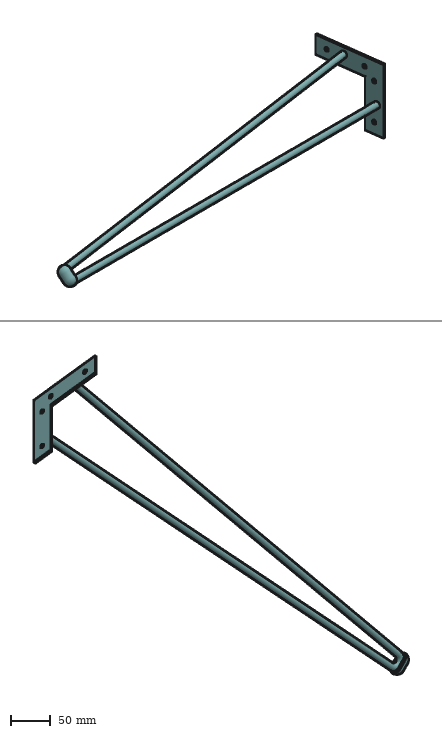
import cadquery as cq
import math

PLATE_LENGTH = 110.0
ARM_WIDTH = 30.0
PLATE_THICKNESS = 3.0
SCREW_HOLE_DIAMETER = 6.0
SCREW_HOLE_DISTANCES = (31.0, 92.0)

ROD_RADIUS = 5.0
ROOT_ALONG_ARM = 64.0
ROOT_INSET = 10.5
BEND_RADIUS = 9.0

FOOT_RADIUS = 9.4
FOOT_LENGTH = 30.0
FOOT_DEPTH = 11.0
FOOT_TIP_Y = -698.0
FOOT_REACH = 61.5
BEND_SETBACK = 9.0

DIAGONAL = math.sqrt(2)
ROOT_HALF_SPACING = (ROOT_ALONG_ARM - ROOT_INSET) / DIAGONAL
ROOT_OFFSET = -(ROOT_ALONG_ARM + ROOT_INSET) / 2
ROOT_MIDDLE = cq.Vector(ROOT_OFFSET, -PLATE_THICKNESS, ROOT_OFFSET)
FOOT_HALF_AXIS = FOOT_LENGTH / 2 - FOOT_RADIUS
FOOT_OFFSET = FOOT_REACH - FOOT_RADIUS - FOOT_HALF_AXIS / DIAGONAL
FOOT_CENTER = cq.Vector(FOOT_OFFSET, FOOT_TIP_Y + FOOT_RADIUS, FOOT_OFFSET)
ACROSS_LEGS = cq.Vector(1, 0, -1)
LEG_PLANE = cq.Plane(
    origin=FOOT_CENTER,
    xDir=ACROSS_LEGS,
    normal=ACROSS_LEGS.cross(ROOT_MIDDLE - FOOT_CENTER),
)

ROOT_DISTANCE = (ROOT_MIDDLE - FOOT_CENTER).Length
LEG_SPAN = ROOT_DISTANCE - BEND_SETBACK
LEG_ANGLE = math.atan2(ROOT_HALF_SPACING, LEG_SPAN) - math.asin(
    BEND_RADIUS / math.hypot(ROOT_HALF_SPACING, LEG_SPAN)
)
LEG_OVERRUN = 4 * ROD_RADIUS


def make_plate():
    outline = [
        (0, 0),
        (-PLATE_LENGTH, 0),
        (-PLATE_LENGTH, -ARM_WIDTH),
        (-ARM_WIDTH, -ARM_WIDTH),
        (-ARM_WIDTH, -PLATE_LENGTH),
        (0, -PLATE_LENGTH),
    ]
    holes = []
    for distance in SCREW_HOLE_DISTANCES:
        holes.append((-distance, -ARM_WIDTH / 2))
        holes.append((-ARM_WIDTH / 2, -distance))
    plate = cq.Workplane("XZ").polyline(outline).close().extrude(PLATE_THICKNESS)
    drill = cq.Workplane("XZ").pushPoints(holes).circle(SCREW_HOLE_DIAMETER / 2)
    return plate.cut(drill.extrude(PLATE_THICKNESS))


def make_hairpin():
    """Round rod along leg, bend and leg, cut flush with the plate's front face."""
    bend_x = BEND_RADIUS * math.cos(LEG_ANGLE)
    bend_y = BEND_SETBACK - BEND_RADIUS * math.sin(LEG_ANGLE)
    end_y = ROOT_DISTANCE + LEG_OVERRUN
    end_x = bend_x + (end_y - bend_y) * math.tan(LEG_ANGLE)
    path = (
        cq.Workplane(LEG_PLANE)
        .moveTo(-end_x, end_y)
        .lineTo(-bend_x, bend_y)
        .threePointArc((0, BEND_SETBACK - BEND_RADIUS), (bend_x, bend_y))
        .lineTo(end_x, end_y)
        .wire()
    )
    start = cq.Plane(origin=path.val().startPoint(), normal=path.val().tangentAt(0))
    rod = cq.Workplane(start).circle(ROD_RADIUS).sweep(path)
    space_behind_plate_face = (
        cq.Workplane("XZ", origin=(0, -PLATE_THICKNESS, 0))
        .rect(2 * PLATE_LENGTH, 2 * PLATE_LENGTH)
        .extrude(-2 * LEG_OVERRUN)
    )
    return rod.cut(space_behind_plate_face)


def make_foot(hairpin):
    """Flat-backed capsule with a recess that fits the bend."""
    half_length = FOOT_LENGTH / 2
    corner = FOOT_RADIUS * math.sqrt(0.5)
    capsule = (
        cq.Workplane(LEG_PLANE)
        .moveTo(-half_length, 0)
        .threePointArc((-FOOT_HALF_AXIS - corner, corner), (-FOOT_HALF_AXIS, FOOT_RADIUS))
        .lineTo(FOOT_HALF_AXIS, FOOT_RADIUS)
        .threePointArc((FOOT_HALF_AXIS + corner, corner), (half_length, 0))
        .close()
        .revolve(360, (0, 0), (1, 0))
    )
    kept_space = (
        cq.Workplane(LEG_PLANE)
        .center(0, FOOT_DEPTH / 2 - FOOT_RADIUS)
        .box(FOOT_LENGTH, FOOT_DEPTH, 2 * FOOT_RADIUS)
    )
    return capsule.intersect(kept_space).cut(hairpin)


plate = make_plate()
hairpin = make_hairpin()
foot = make_foot(hairpin)
result = cq.Compound.makeCompound([plate.val(), hairpin.val(), foot.val()])